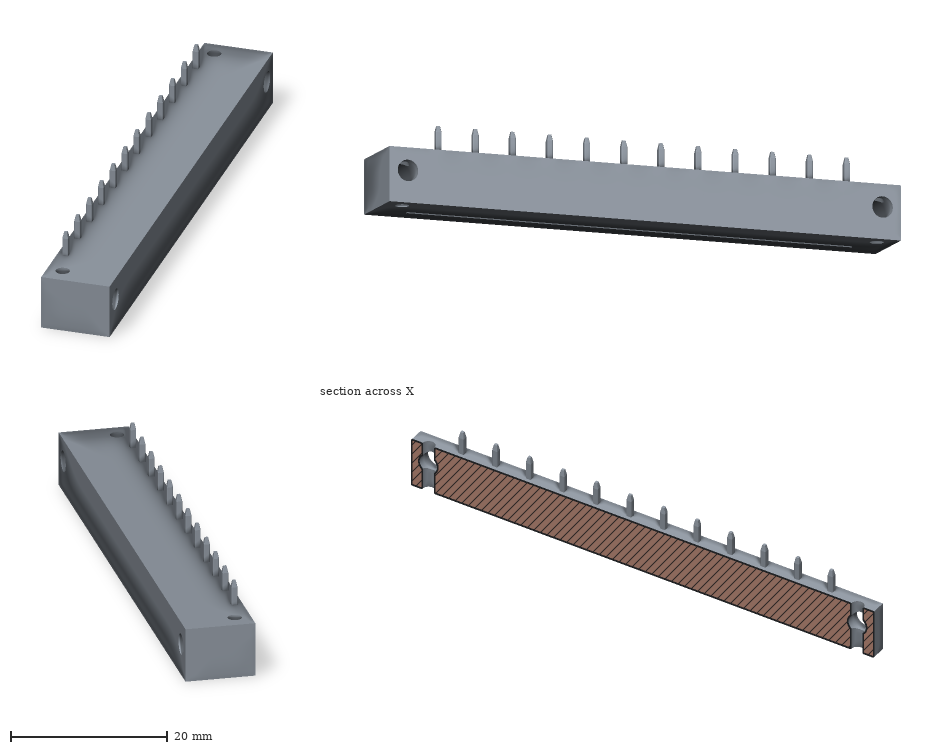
import cadquery as cq

body_width = 9.2
body_length = 70.0
body_height = 7.2

pin_count = 12
pin_pitch = 5.08
pin_inset = 1.1
pin_size = 0.8
pin_height = 3.3
pin_corner_cut = 0.1
pin_tip_length = 0.85
pin_tip_size = 0.4

end_inset = 2.5
vertical_hole_diameter = 1.8
vertical_hole_inset = 2.1
cross_hole_diameter = 2.8
cross_hole_depth = 3.0

rib_length = 60.9
rib_width = 0.3
rib_height = 0.15
rib_inset = 5.8

front_x = -body_width / 2
end_positions = [side * (body_length / 2 - end_inset) for side in (-1, 1)]
pin_positions = [(i - (pin_count - 1) / 2) * pin_pitch for i in range(pin_count)]


def make_body():
    """Plain block with its bottom face on Z = 0."""
    return cq.Workplane("XY").box(body_width, body_length, body_height, centered=(True, True, False))


def pin_section(y, z, size):
    """Square pin outline with its corners cut, at height z."""
    corner = pin_corner_cut * size / pin_size
    return (
        cq.Sketch()
        .rect(size, size)
        .vertices()
        .chamfer(corner)
        .moved(cq.Location(cq.Vector(front_x + pin_inset, y, z)))
    )


def make_pin(y):
    """Upright pin standing on the top face, tapered at the tip."""
    shoulder_z = body_height + pin_height - pin_tip_length
    shoulder = pin_section(y, shoulder_z, pin_size)
    end = pin_section(y, body_height + pin_height, pin_tip_size)
    shaft = cq.Workplane("XY").placeSketch(shoulder).extrude(body_height - shoulder_z)
    tip = cq.Workplane("XY").placeSketch(shoulder, end).loft()
    return shaft.union(tip)


def make_vertical_hole(y):
    """Cutter running through the body along Z."""
    return (
        cq.Workplane("XY", origin=(front_x + vertical_hole_inset, y, 0))
        .circle(vertical_hole_diameter / 2)
        .extrude(body_height)
    )


def make_cross_hole(y):
    """Cutter running through the body along X."""
    return (
        cq.Workplane("YZ", origin=(front_x, y, body_height - cross_hole_depth))
        .circle(cross_hole_diameter / 2)
        .extrude(body_width)
    )


def make_rib():
    """Shallow rib hanging below the bottom face."""
    return cq.Workplane("XY", origin=(front_x + rib_inset, 0, -rib_height)).box(
        rib_width, rib_length, rib_height, centered=(True, True, False)
    )


result = make_body().union(make_rib())
for end_y in end_positions:
    result = result.cut(make_vertical_hole(end_y)).cut(make_cross_hole(end_y))
for pin_y in pin_positions:
    result = result.union(make_pin(pin_y))